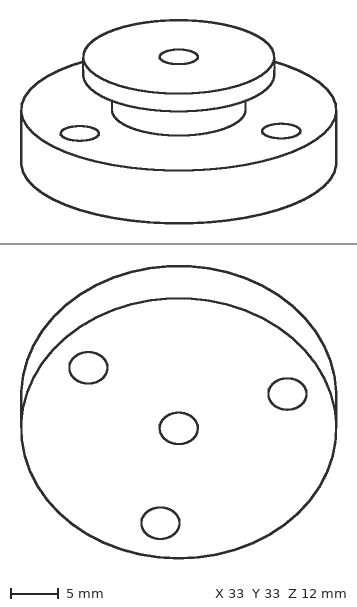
import cadquery as cq
import math

flange_diameter = 33.0
flange_thickness = 6.0
neck_diameter = 14.0
neck_height = 4.0
hub_height = flange_thickness + neck_height

bolt_hole_diameter = 4.0
bolt_circle_radius = 12.18
bolt_hole_angles = (30, 150, 270)

cap_diameter = 20.0
cap_thickness = 2.0

bore_diameter = 4.0


def make_hub():
    """Flange and neck in one piece, with a central bore and bolt holes."""
    flange = cq.Workplane("XY").circle(flange_diameter / 2).extrude(flange_thickness)
    neck = cq.Workplane("XY").circle(neck_diameter / 2).extrude(hub_height)
    bore = cq.Workplane("XY").circle(bore_diameter / 2).extrude(hub_height)
    return flange.union(neck).cut(bore).cut(make_bolt_holes())


def make_bolt_holes():
    """Cylinders to remove from the flange, evenly spaced on the bolt circle."""
    positions = [
        (
            bolt_circle_radius * math.cos(math.radians(angle)),
            bolt_circle_radius * math.sin(math.radians(angle)),
        )
        for angle in bolt_hole_angles
    ]
    return (
        cq.Workplane("XY")
        .pushPoints(positions)
        .circle(bolt_hole_diameter / 2)
        .extrude(flange_thickness)
    )


def make_cap():
    """Bored disc, wider than the neck, on the neck's top face."""
    return (
        cq.Workplane("XY", origin=(0, 0, hub_height))
        .circle(cap_diameter / 2)
        .circle(bore_diameter / 2)
        .extrude(cap_thickness)
    )


hub = make_hub()
cap = make_cap()

result = cq.Compound.makeCompound([hub.val().Solids()[0], cap.val()])